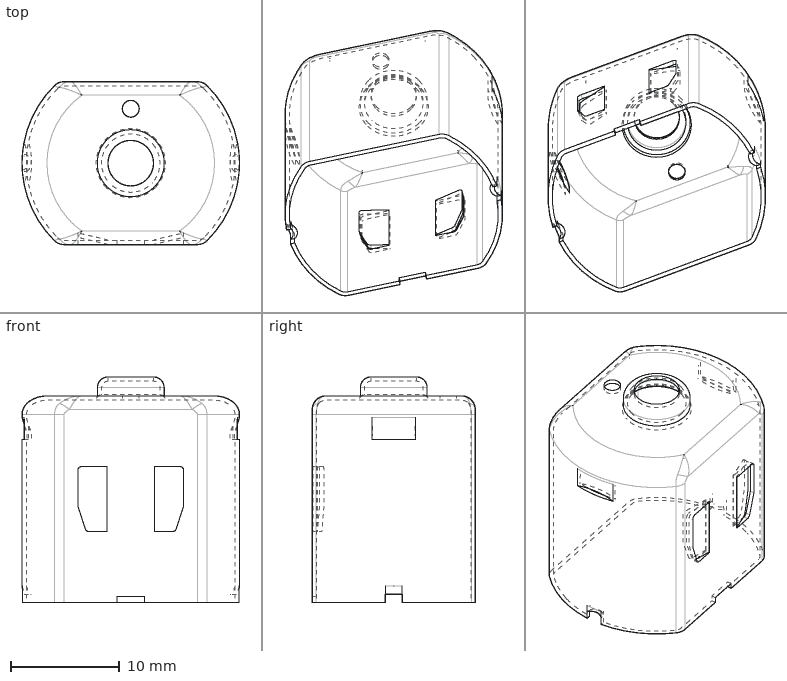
import math

import cadquery as cq

body_radius = 10.0
flat_offset = 7.5
edge_radius = 1.25
roof_height = 19.0
sheet = 0.4

round_side_width = 2.3
round_side_drop = 1.7

boss_height = 20.75
boss_radius = 3.08
boss_rounding = 1.0
shaft_radius = boss_radius - boss_rounding
boss_root_radius = 0.5

vent_radius = 0.76
vent_offset = 5.0

tab_hinge_x = 2.2
tab_outer_x = 4.87
tab_tip_x = 4.1
tab_top = 12.5
tab_shoulder = 8.9
tab_bottom = 6.53
tab_rounding = 0.35
tab_step = 0.06
tab_angle = 13.0

front_notch_width = 2.5
front_notch_height = 0.57

dent_width = 4.0
dent_bottom = 15.0
dent_top = 17.0
dent_depth = 0.5

side_notch_width = 1.55
side_notch_height = 0.76
notch_dent_top = 1.52
notch_dent_depth = 0.45

dent_profile = [(0, 1), (1 / 3, 0.9), (2 / 3, 0.4), (1, 0)]
notch_dent_profile = [(0, 1), (0.4, 0.4), (1, 0)]


def can_block(inset):
    """Solid can shape whose walls and roof lie `inset` inside the outer surface."""
    radius = body_radius - inset
    half_width = flat_offset - inset
    top = roof_height - inset
    width = round_side_width - inset
    drop = round_side_drop - inset

    turned = (
        cq.Workplane("XZ")
        .lineTo(radius, 0)
        .lineTo(radius, top - drop)
        .ellipseArc(width, drop, 0, 90, startAtCurrent=True)
        .lineTo(0, top)
        .close()
        .revolve(360, (0, 0, 0), (0, 1, 0))
    )
    slab = (
        cq.Workplane("XY")
        .box(2 * body_radius, 2 * half_width, top, centered=(True, True, False))
        .faces(">Z")
        .edges("|X")
        .fillet(edge_radius - inset)
    )
    block = turned.intersect(slab)
    return block.edges("|Z").fillet(edge_radius - inset)


def boss():
    """Outer solid of the boss, standing on the roof."""
    return (
        cq.Workplane("XY", origin=(0, 0, roof_height - sheet))
        .circle(boss_radius)
        .extrude(boss_height - roof_height + sheet)
        .faces(">Z")
        .edges()
        .fillet(boss_rounding)
    )


def boss_bore():
    """Space inside the boss: an even sheet thickness all round and a flared mouth into the can."""
    bore_radius = boss_radius - sheet
    bore_rounding = boss_rounding - sheet
    bore_top = boss_height - sheet
    ceiling = roof_height - sheet
    return (
        cq.Workplane("XZ", origin=(0, 0, ceiling))
        .lineTo(bore_radius + boss_root_radius, 0)
        .radiusArc((bore_radius, boss_root_radius), -boss_root_radius)
        .lineTo(bore_radius, bore_top - bore_rounding - ceiling)
        .radiusArc((bore_radius - bore_rounding, bore_top - ceiling), -bore_rounding)
        .lineTo(0, bore_top - ceiling)
        .close()
        .revolve(360, (0, 0, 0), (0, 1, 0))
    )


def roof_hole(radius, y):
    """Upright cutter through the roof, and through the boss at the centre."""
    return (
        cq.Workplane("XY", origin=(0, y, roof_height / 2))
        .circle(radius)
        .extrude(boss_height)
    )


def tab_prism(depth):
    """Right-hand tab outline with its free corners rounded, run `depth` inward from the front flat."""
    prism = (
        cq.Workplane("XZ", origin=(0, -flat_offset, 0))
        .moveTo(tab_hinge_x, tab_bottom)
        .lineTo(tab_tip_x, tab_bottom)
        .lineTo(tab_outer_x, tab_shoulder)
        .lineTo(tab_outer_x, tab_top)
        .lineTo(tab_hinge_x, tab_top)
        .close()
        .extrude(-depth)
    )
    free_edges = prism.edges("|Y").edges("not <X").edges("<Z or >Z")
    return free_edges.fillet(tab_rounding)


def slanted_sheet():
    """Large plate leaning inward from the hinge of the right-hand tab."""
    hinge_y = tab_step - flat_offset
    plate = (
        cq.Workplane("XY", origin=(tab_hinge_x, hinge_y, 0))
        .box(2 * body_radius, sheet, roof_height, centered=(True, False, False))
    )
    return plate.rotate((tab_hinge_x, hinge_y, 0), (tab_hinge_x, hinge_y, 1), tab_angle)


def dent_section(z, half_width, depth):
    """Closed wire of a dent at height z, reaching `depth` into the +X side at its middle."""
    edge_x = math.sqrt(body_radius**2 - half_width**2)
    clear_x = body_radius + sheet
    return (
        cq.Workplane("XY", origin=(0, 0, z))
        .moveTo(clear_x, -half_width)
        .lineTo(edge_x, -half_width)
        .threePointArc((body_radius - depth, 0), (edge_x, half_width))
        .lineTo(clear_x, half_width)
        .close()
        .wires()
        .val()
    )


def dent_space(width, bottom, top, depth, profile):
    """Hollow of a dent on the +X side: flush with the wall at its top, deepest at its bottom."""
    sections = []
    for height_share, depth_share in profile:
        z = bottom + height_share * (top - bottom)
        sections.append(dent_section(z, width / 2, depth_share * depth))
    return cq.Workplane(obj=cq.Solid.makeLoft(sections))


def both_sides(shape):
    """A +X side shape together with its mirror image on the -X side."""
    return shape.union(shape.mirror("YZ"))


def press_dents(can, width, bottom, top, depth, profile):
    """Push the sheet of both round sides inward without thinning it."""
    hollow = dent_space(width, bottom, top, depth, profile)
    backing = hollow.translate((-sheet, 0, 0)).intersect(can_block(0))
    return can.union(both_sides(backing)).cut(both_sides(hollow))


def cut_side_notches(can):
    """Open the bottom rim of both round sides."""
    cutter = (
        cq.Workplane("XY")
        .box(3 * body_radius, side_notch_width, side_notch_height, centered=(True, True, False))
    )
    return can.cut(cutter)


def cut_front_notch(can):
    """Open the bottom rim of the front flat."""
    cutter = (
        cq.Workplane("XY", origin=(0, -flat_offset, 0))
        .box(front_notch_width, flat_offset, front_notch_height, centered=(True, True, False))
    )
    return can.cut(cutter)


def bend_tabs(can):
    """Punch two windows in the front flat and swing their tabs inward about the hinge edges."""
    window = tab_prism(sheet)
    tab = tab_prism(flat_offset).intersect(slanted_sheet())
    return can.cut(both_sides(window)).union(both_sides(tab))


can = can_block(0).union(boss())
can = can.cut(can_block(sheet)).cut(boss_bore())
can = can.cut(roof_hole(shaft_radius, 0)).cut(roof_hole(vent_radius, vent_offset))
can = press_dents(can, dent_width, dent_bottom, dent_top, dent_depth, dent_profile)
can = press_dents(
    can, side_notch_width, side_notch_height, notch_dent_top, notch_dent_depth, notch_dent_profile
)
can = cut_side_notches(can)
can = cut_front_notch(can)
result = bend_tabs(can)